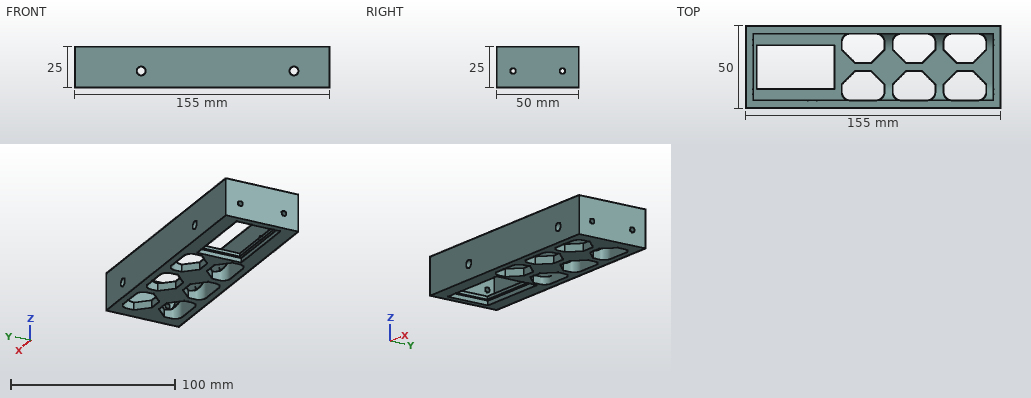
import cadquery as cq

length = 155.0
width = 50.0
height = 25.0

end_wall = 4.3
side_wall = 4.8
floor_thickness = 5.0
inner_length = length - 2 * end_wall
inner_half_width = width / 2 - side_wall

window_left = 6.7
window_length = 47.1
window_width = 26.5
window_lip = 2.0
window_recess_margin = 1.9

opening_columns = 3
opening_pitch = 31.0
first_opening_x = 71.3
opening_width = 25.9
opening_inner_y = 2.5
opening_chamfer = 8.0
opening_corner_radius = 5.0

rib_radius = 9.9
rib_start_x = first_opening_x

hole_height = 10.0
side_hole_diameter = 5.3
side_hole_pitch = 93.0
first_side_hole_x = first_opening_x - opening_pitch
side_hole_positions = (first_side_hole_x, first_side_hole_x + side_hole_pitch)
end_hole_diameter = 3.3
end_hole_offset = 15.0


def make_tray():
    outer = cq.Workplane("XY").box(length, width, height, centered=(False, True, False))
    cavity = (
        cq.Workplane("XY", origin=(end_wall, 0, floor_thickness))
        .box(inner_length, 2 * inner_half_width, height, centered=(False, True, False))
    )
    return outer.cut(cavity)


def make_rib():
    """Concave corner fill along the +Y wall, from the first opening to the end wall."""
    wall_y = inner_half_width
    rib_length = length - end_wall - rib_start_x
    block = (
        cq.Workplane("XY", origin=(rib_start_x, wall_y - rib_radius, floor_thickness))
        .box(rib_length, rib_radius, rib_radius, centered=False)
    )
    hollow = (
        cq.Workplane("YZ", origin=(rib_start_x, 0, 0))
        .center(wall_y - rib_radius, floor_thickness + rib_radius)
        .circle(rib_radius)
        .extrude(rib_length)
    )
    return block.cut(hollow)


def make_opening(center_x):
    """Opening on the +Y side: chamfered towards the middle, rounded at the wall."""
    depth = inner_half_width - opening_inner_y
    prism = (
        cq.Workplane("XY", origin=(center_x, opening_inner_y + depth / 2, 0))
        .box(opening_width, depth, height, centered=(True, True, False))
    )
    prism = prism.edges("|Z and <Y").chamfer(opening_chamfer)
    return prism.edges("|Z and >Y").fillet(opening_corner_radius)


def make_window():
    window = (
        cq.Workplane("XY", origin=(window_left, 0, 0))
        .box(window_length, window_width, floor_thickness, centered=(False, True, False))
    )
    recess = (
        cq.Workplane("XY", origin=(window_left - window_recess_margin, 0, 0))
        .box(
            window_length + 2 * window_recess_margin,
            window_width + 2 * window_recess_margin,
            floor_thickness - window_lip,
            centered=(False, True, False),
        )
    )
    return window.union(recess)


def add_to_both_sides(shape):
    return shape.union(shape.mirror("XZ"))


result = make_tray().union(add_to_both_sides(make_rib()))

for column in range(opening_columns):
    opening = make_opening(first_opening_x + column * opening_pitch)
    result = result.cut(add_to_both_sides(opening))

result = result.cut(make_window())

for hole_x in side_hole_positions:
    side_hole = (
        cq.Workplane("XZ", origin=(hole_x, width / 2, hole_height))
        .circle(side_hole_diameter / 2)
        .extrude(width)
    )
    result = result.cut(side_hole)

for hole_y in (-end_hole_offset, end_hole_offset):
    end_hole = (
        cq.Workplane("YZ", origin=(0, hole_y, hole_height))
        .circle(end_hole_diameter / 2)
        .extrude(length)
    )
    result = result.cut(end_hole)